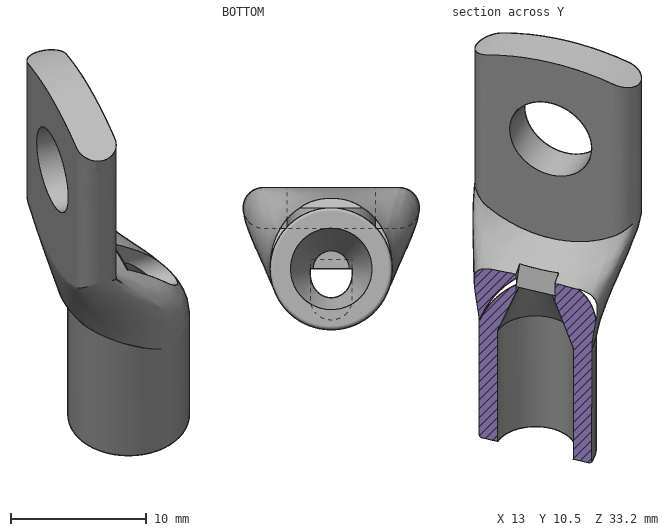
import cadquery as cq
import math


total_height = 33.15
palm_width = 13.0
palm_thickness = 3.02
barrel_radius = 9.0 / 2
bore_radius = 6.0 / 2
bolt_hole_radius = 6.5 / 2

mouth_fillet = 0.25
shoulder_height = 10.05
shoulder_edge_y = 0.85
lip_root_height = 12.45
lip_y = -5.25
lip_height = 13.2

bolt_hole_height = 26.22
palm_front = -6.0
palm_back = palm_front + palm_thickness
palm_middle = (palm_front + palm_back) / 2
palm_end_radius = palm_thickness / 2
palm_flat_half = palm_width / 2 - palm_end_radius
palm_base_radius = 9.0
palm_top_radius = 19.72

seam_angle = 30.0
barrel_pull = 10.28
barrel_pull_front = 2.65
front_pull_focus = 4
palm_pull_up = 0.7
palm_pull_forward = 1.2

window_width = 3.08
window_bottom = 12.35
window_wall_angle = 66.0
taper_end_radius = 1.33
taper_end_height = 14.42

strand_count = 13
fit_tolerance = 0.0001
sewing_tolerance = 0.01
joint_tolerance = 0.002
reach = 16.58

shapes = cq.occ_impl.shapes


def y_cylinder(radius, height):
    """Long cylinder along Y whose axis crosses the Z axis at the given height."""
    return cq.Workplane("XZ").center(0, height).circle(radius).extrude(reach, both=True)



def barrel_point(angle):
    """Point on the barrel outline at the shoulder, angle in degrees from +X."""
    turn = math.radians(angle)
    return cq.Vector(barrel_radius * math.cos(turn), barrel_radius * math.sin(turn), shoulder_height)


def palm_point(x, y):
    """Point on the palm base, which is an arc about the bolt hole."""
    return cq.Vector(x, y, bolt_hole_height - math.sqrt(palm_base_radius**2 - x**2))


def flat_ends(facing, share):
    """Strand ends on the front (-1) or back (1) panel; share runs from -1 to 1 across it."""
    angle = facing * (90 - (90 - seam_angle) * share)
    y = palm_middle + facing * palm_end_radius
    return barrel_point(angle), palm_point(share * palm_flat_half, y)


def side_ends(facing, share):
    """Strand ends on the left (-1) or right (1) panel; share runs from -1 to 1, front to back."""
    turn = math.radians(90 * share)
    x = palm_flat_half + palm_end_radius * math.cos(turn)
    y = palm_middle + palm_end_radius * math.sin(turn)
    angle = seam_angle * share
    if facing < 0:
        angle = 180 - angle
    return barrel_point(angle), palm_point(facing * x, y)


def strand(start, end):
    """Points of a cubic that leaves the barrel straight up and leans forward into the palm."""
    back_share = (1 + start.y / barrel_radius) / 2
    pull = barrel_pull + (barrel_pull_front - barrel_pull) * (1 - back_share)**front_pull_focus
    rise = end - start
    departure = cq.Vector(0, 0, pull)
    arrival = cq.Vector(0, palm_pull_forward * back_share * rise.y, palm_pull_up * rise.z)
    points = []
    for k in range(strand_count):
        t = k / (strand_count - 1)
        along = rise * (3 * t**2 - 2 * t**3)
        points.append(start + along + departure * (t * (1 - t)**2) - arrival * (t**2 * (1 - t)))
    return points


def panel(ends, facing):
    """Smooth face through the strands of one panel."""
    shares = [2 * k / (strand_count - 1) - 1 for k in range(strand_count)]
    strands = [strand(*ends(facing, share)) for share in shares]
    return cq.Face.makeSplineApprox(strands, tol=fit_tolerance)


def transition_and_palm():
    """Closed skin: base disc, four panels, upright palm walls and a cap above the palm top."""
    panels = [panel(ends, facing) for ends in (flat_ends, side_ends) for facing in (-1, 1)]
    base_edges = [min(face.Edges(), key=lambda edge: edge.Center().z) for face in panels]
    palm_edges = [max(face.Edges(), key=lambda edge: edge.Center().z) for face in panels]
    lift = cq.Vector(0, 0, reach)
    lifted_edges = [edge.translate(lift) for edge in palm_edges]
    walls = [shapes.extrude(edge, lift) for edge in palm_edges]
    base = cq.Face.makeFromWires(cq.Wire.combine(base_edges, sewing_tolerance)[0])
    cap = cq.Face.makeNSidedSurface(lifted_edges, [palm_point(0, palm_middle) + lift])
    skin = shapes.shell(panels + walls + [base, cap], tol=sewing_tolerance)
    blank = cq.Workplane(cq.Solid.makeSolid(skin))
    return blank.intersect(y_cylinder(palm_top_radius, total_height - palm_top_radius))



def above_shoulder():
    """Space above the shoulder, which is level at the back and rises forward to a lip."""
    outline = [
        (reach, shoulder_height),
        (shoulder_edge_y, shoulder_height),
        (-barrel_radius, lip_root_height),
        (lip_y, lip_height),
        (-reach, lip_height),
        (-reach, total_height + reach),
        (reach, total_height + reach),
    ]
    return cq.Workplane("YZ").polyline(outline).close().extrude(reach, both=True)


def barrel():
    tube = cq.Workplane("XY").circle(barrel_radius).extrude(bolt_hole_height)
    return tube.faces("<Z").edges().fillet(mouth_fillet).cut(above_shoulder())



def bore():
    """Blind bore that tapers above the shoulder."""
    outline = [
        (0, 0),
        (bore_radius, 0),
        (bore_radius, shoulder_height),
        (taper_end_radius, taper_end_height),
        (0, taper_end_height),
    ]
    return cq.Workplane("XZ").polyline(outline).close().revolve()


def window():
    """Slot from the back into the bore, with a round floor and a leaning front wall."""
    radius = window_width / 2
    floor_centre = window_bottom + radius
    wall_top = taper_end_height - palm_back * math.tan(math.radians(window_wall_angle))
    outline = [
        (0, floor_centre),
        (reach, floor_centre),
        (reach, wall_top),
        (palm_back, wall_top),
        (0, taper_end_height),
    ]
    slot = cq.Workplane("YZ").polyline(outline).close().extrude(radius, both=True)
    floor = cq.Workplane("XZ").center(0, floor_centre).circle(radius).extrude(-reach)
    return slot.union(floor)


upper = transition_and_palm().intersect(above_shoulder())
body = upper.union(barrel(), tol=joint_tolerance)
lug = body.cut(bore()).cut(window()).cut(y_cylinder(bolt_hole_radius, bolt_hole_height))
result = cq.Workplane(lug.solids().val())